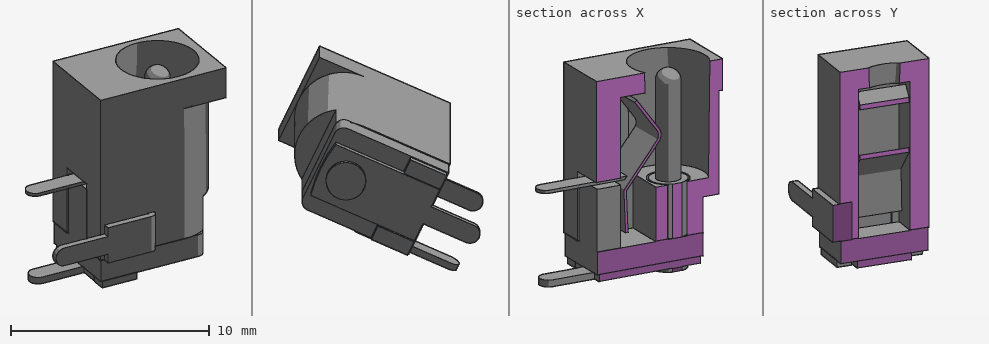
import cadquery as cq
import math


HOUSING_WIDTH = 4.9
HOUSING_BACK = 2.6
HOUSING_FRONT = -4.65
HOUSING_BOTTOM = -9.1
COLLAR_BOTTOM = -1.7
BARREL_RADIUS = HOUSING_WIDTH / 2
STEP_Z = -7.2
STEP_Y = 1.5

MOUTH_DIAMETER = 4.2
HOLE_DIAMETER = 4.06
HOLE_FLOOR = -6.2
PIN_DIAMETER = 1.3
PIN_TIP = -0.35
SLEEVE_DIAMETER = 2.0
SLEEVE_HOLE_DIAMETER = 2.2
RIVET_DIAMETER = 2.0
RIVET_BOTTOM = -10.91

SLOT_WIDTH = 2.0
SLOT_TOP = -5.4
CAVITY_WIDTH = 2.8
CAVITY_FRONT = -3.25
CAVITY_BACK = -1.25
CAVITY_TOP = -1.1

BASE_WIDTH = 4.8
BASE_FRONT = -4.6
BASE_BOTTOM = -10.33
BASE_CORNER_RADIUS = 0.5
TONGUE_WIDTH = 1.9
TONGUE_TOP = -5.76
FOOT_WIDTH = 0.8
FOOT_OUTER_X = 2.35
FOOT_FRONT = -4.5
FOOT_LENGTH = 2.0
FOOT_BOTTOM = -10.73

TAIL_WIDTH = 1.0
TAIL_RADIUS = TAIL_WIDTH / 2

PLATE_WIDTH = 3.0
PLATE_FRONT = FOOT_FRONT
PLATE_BOTTOM = -10.7
PLATE_CORNER_Y = 1.25
PLATE_BACK = 1.4
PLATE_TAIL_TIP = -7.38

SIDE_INNER_X = 2.5
SIDE_THICKNESS = 0.35
SIDE_BACK = -1.57
SIDE_PLATE_FRONT = -4.45
SIDE_TAIL_TIP = -7.45
SIDE_HEIGHT = 2.0
SIDE_BEND_RADIUS = SIDE_THICKNESS
SIDE_LEG_END_X = 1.8

SPRING_WIDTH = 2.7
SPRING_THICKNESS = 0.17
SPRING_PLATE_Y = -3.0
SPRING_PLATE_LEAN = 0.1
SPRING_PLATE_BOTTOM = -8.35
SPRING_PLATE_TOP = -6.1
SPRING_KNEE_Y = -0.87
SPRING_TOP_Y = -2.4
LOWER_LEG_ANGLE = math.radians(51)
UPPER_LEG_ANGLE = math.radians(53.2)
SPRING_FOOT_BEND_RADIUS = 0.1
SPRING_KNEE_BEND_RADIUS = 0.45
SPRING_TAIL_TOP = -5.52
SPRING_TAIL_TIP = -7.55


def box(x_min, x_max, y_min, y_max, z_min, z_max):
    """Block between the given limits."""
    block = cq.Workplane("XY").box(x_max - x_min, y_max - y_min, z_max - z_min, centered=False)
    return block.translate((x_min, y_min, z_min))


def cylinder(diameter, z_min, z_max):
    """Upright cylinder on the barrel axis."""
    return cq.Workplane("XY", origin=(0, 0, z_min)).circle(diameter / 2).extrude(z_max - z_min)


def tail(root_y, tip_y, thickness):
    """Flat solder tail lying on Z = 0, running towards -Y to a round tip."""
    half = TAIL_WIDTH / 2
    outline = (
        cq.Workplane("XY")
        .moveTo(-half, root_y)
        .lineTo(-half, tip_y + TAIL_RADIUS)
        .threePointArc((0, tip_y), (half, tip_y + TAIL_RADIUS))
        .lineTo(half, root_y)
        .close()
    )
    return outline.extrude(thickness)


def make_pin():
    """Ball-ended pin with the rivet head that clamps the terminal plate."""
    radius = PIN_DIAMETER / 2
    shank = cylinder(PIN_DIAMETER, PLATE_BOTTOM, PIN_TIP - radius)
    ball = cq.Workplane("XY").sphere(radius).translate((0, 0, PIN_TIP - radius))
    return shank.union(ball).union(cylinder(RIVET_DIAMETER, RIVET_BOTTOM, PLATE_BOTTOM))


def make_sleeve():
    """Ring round the pin, from the base up to the floor of the plug hole."""
    ring = cylinder(SLEEVE_DIAMETER, HOUSING_BOTTOM, HOLE_FLOOR)
    return ring.cut(cylinder(PIN_DIAMETER, HOUSING_BOTTOM, HOLE_FLOOR))


def make_side_terminal():
    """Plate along the +X face, bent into the housing at its back and drawn out to a tail in front."""
    outer_x = SIDE_INNER_X + SIDE_THICKNESS
    top = HOUSING_BOTTOM + SIDE_HEIGHT
    plate = box(SIDE_INNER_X, outer_x, SIDE_PLATE_FRONT, SIDE_BACK, HOUSING_BOTTOM, top)
    leg = box(SIDE_LEG_END_X, outer_x, SIDE_BACK - SIDE_THICKNESS, SIDE_BACK, HOUSING_BOTTOM, top)
    bent = plate.union(leg).edges("|Z and >X and >Y").fillet(SIDE_BEND_RADIUS)
    side_tail = (
        tail(SIDE_PLATE_FRONT, SIDE_TAIL_TIP, SIDE_THICKNESS)
        .rotate((0, 0, 0), (0, 1, 0), 90)
        .translate((SIDE_INNER_X, 0, HOUSING_BOTTOM + SIDE_HEIGHT / 2))
    )
    return bent.union(side_tail)


def make_plate_terminal():
    """Plate under the base with a slightly bowed back edge and a tail in front."""
    half = PLATE_WIDTH / 2
    thickness = BASE_BOTTOM - PLATE_BOTTOM
    plate = (
        cq.Workplane("XY")
        .moveTo(-half, PLATE_FRONT)
        .lineTo(half, PLATE_FRONT)
        .lineTo(half, PLATE_CORNER_Y)
        .threePointArc((0, PLATE_BACK), (-half, PLATE_CORNER_Y))
        .close()
        .extrude(thickness)
    )
    plate = plate.union(tail(PLATE_FRONT, PLATE_TAIL_TIP, thickness)).translate((0, 0, PLATE_BOTTOM))
    return plate.cut(cylinder(PIN_DIAMETER, PLATE_BOTTOM, BASE_BOTTOM))


def make_spring():
    """Bent leaf: leaning plate, leg rising to a knee inside the plug hole, leg turning back, and tail."""
    knee_z = SPRING_PLATE_TOP + (SPRING_KNEE_Y - SPRING_PLATE_Y) * math.tan(LOWER_LEG_ANGLE)
    top_z = knee_z + (SPRING_KNEE_Y - SPRING_TOP_Y) * math.tan(UPPER_LEG_ANGLE)
    half_thickness = SPRING_THICKNESS / 2
    plate_angle = math.atan2(SPRING_PLATE_TOP - SPRING_PLATE_BOTTOM, -SPRING_PLATE_LEAN)
    angles = [plate_angle, LOWER_LEG_ANGLE, math.pi - UPPER_LEG_ANGLE]
    middle = [
        (SPRING_PLATE_Y + SPRING_PLATE_LEAN, SPRING_PLATE_BOTTOM),
        (SPRING_PLATE_Y, SPRING_PLATE_TOP),
        (SPRING_KNEE_Y, knee_z),
        (SPRING_TOP_Y, top_z),
    ]

    def side(distance):
        """Points of the middle line moved sideways, mitred at the bends."""
        points = []
        for index, (y, z) in enumerate(middle):
            before = angles[max(index - 1, 0)]
            after = angles[min(index, len(angles) - 1)]
            mitre = distance / math.cos((after - before) / 2)
            normal = (before + after) / 2 + math.pi / 2
            points.append((y + mitre * math.cos(normal), z + mitre * math.sin(normal)))
        return points

    outer = side(half_thickness)
    inner = side(-half_thickness)
    leaf = cq.Workplane("YZ").polyline(outer + inner[::-1]).close().extrude(SPRING_WIDTH / 2, both=True)
    bends = [
        (inner[1], SPRING_FOOT_BEND_RADIUS),
        (outer[1], SPRING_FOOT_BEND_RADIUS + SPRING_THICKNESS),
        (outer[2], SPRING_KNEE_BEND_RADIUS),
        (inner[2], SPRING_KNEE_BEND_RADIUS + SPRING_THICKNESS),
    ]
    for (y, z), radius in bends:
        corner = cq.selectors.NearestToPointSelector((0, y, z))
        leaf = leaf.edges("|X").edges(corner).fillet(radius)

    tail_middle = SPRING_TAIL_TOP - half_thickness
    root_y = SPRING_PLATE_Y + (tail_middle - SPRING_PLATE_TOP) / math.tan(LOWER_LEG_ANGLE)
    spring_tail = tail(root_y, SPRING_TAIL_TIP, SPRING_THICKNESS)
    return leaf.union(spring_tail.translate((0, 0, SPRING_TAIL_TOP - SPRING_THICKNESS)))


def make_base():
    """Cover below the housing, with a tongue in the front slot and two feet."""
    half = BASE_WIDTH / 2
    base = box(-half, half, BASE_FRONT, STEP_Y, BASE_BOTTOM, HOUSING_BOTTOM)
    base = base.edges("|Z and >Y").fillet(BASE_CORNER_RADIUS)
    half_tongue = TONGUE_WIDTH / 2
    base = base.union(box(-half_tongue, half_tongue, BASE_FRONT, CAVITY_FRONT, BASE_BOTTOM, TONGUE_TOP))
    for left in (-FOOT_OUTER_X, FOOT_OUTER_X - FOOT_WIDTH):
        foot_back = FOOT_FRONT + FOOT_LENGTH
        foot = box(left, left + FOOT_WIDTH, FOOT_FRONT, foot_back, FOOT_BOTTOM, BASE_BOTTOM)
        base = base.union(foot)
    return base.cut(cylinder(PIN_DIAMETER, BASE_BOTTOM, HOUSING_BOTTOM))


def make_housing():
    """Square collar over a round-backed body, hollowed for the plug, pin, spring and side terminal."""
    half = HOUSING_WIDTH / 2
    collar = box(-half, half, HOUSING_FRONT, HOUSING_BACK, COLLAR_BOTTOM, 0)
    shoulder_y = HOUSING_BACK - BARREL_RADIUS
    body = (
        cq.Workplane("XY", origin=(0, 0, HOUSING_BOTTOM))
        .moveTo(-half, HOUSING_FRONT)
        .lineTo(half, HOUSING_FRONT)
        .lineTo(half, shoulder_y)
        .threePointArc((0, HOUSING_BACK), (-half, shoulder_y))
        .close()
        .extrude(COLLAR_BOTTOM - HOUSING_BOTTOM)
    )
    body = body.cut(box(-half, half, STEP_Y, HOUSING_BACK, HOUSING_BOTTOM, STEP_Z))

    plug_hole = (
        cq.Workplane("XZ")
        .polyline(
            [
                (0, 0),
                (MOUTH_DIAMETER / 2, 0),
                (HOLE_DIAMETER / 2, HOLE_FLOOR),
                (0, HOLE_FLOOR),
            ]
        )
        .close()
        .revolve(360, (0, 0), (0, 1))
    )
    half_cavity = CAVITY_WIDTH / 2
    cavity = box(-half_cavity, half_cavity, CAVITY_FRONT, CAVITY_BACK, HOUSING_BOTTOM, CAVITY_TOP)
    half_slot = SLOT_WIDTH / 2
    slot = box(-half_slot, half_slot, HOUSING_FRONT, CAVITY_FRONT, HOUSING_BOTTOM, SLOT_TOP)
    leg_front = SIDE_BACK - SIDE_THICKNESS
    leg_top = HOUSING_BOTTOM + SIDE_HEIGHT
    leg_slot = box(SIDE_LEG_END_X, half, leg_front, SIDE_BACK, HOUSING_BOTTOM, leg_top)
    sleeve_hole = cylinder(SLEEVE_HOLE_DIAMETER, HOUSING_BOTTOM, HOLE_FLOOR)
    housing = collar.union(body)
    for hollow in (plug_hole, sleeve_hole, cavity, slot, leg_slot):
        housing = housing.cut(hollow)
    return housing


housing = make_housing().solids()
base = make_base().solids()
pin = make_pin().solids()
sleeve = make_sleeve().solids()
plate_terminal = make_plate_terminal().solids()
side_terminal = make_side_terminal().solids()
spring = make_spring().solids()

result = cq.Compound.makeCompound(
    [
        housing.val(),
        base.val(),
        pin.val(),
        sleeve.val(),
        plate_terminal.val(),
        side_terminal.val(),
        spring.val(),
    ]
)